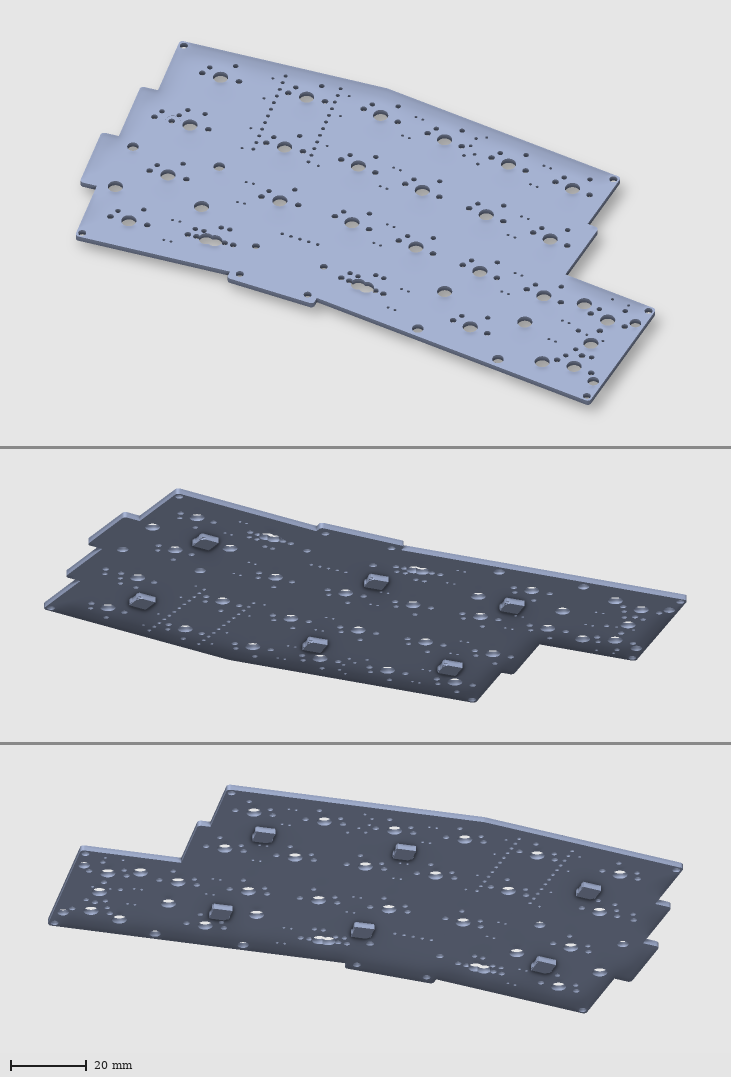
import cadquery as cq
import math

KEY = 19.05
PLATE_LENGTH = 158.86
PLATE_WIDTH = 92.29
PLATE_THICKNESS = 1.6
LED_HEIGHT = 1.6
LED_GAP = 0.05
CORNER_RADIUS = 1.0

SWITCH_POST = 3.99
SWITCH_PEG = 1.75
SWITCH_PIN = 1.47
STABILIZER_LARGE = 3.99
STABILIZER_SMALL = 3.05
MOUNTING_HOLE = 2.1
CONTROLLER_PIN = 1.09
HEADER_PIN = 1.0
DIODE_LEAD = 0.8
BUTTON_PIN = 1.0
BUTTON_LEAD = 0.8

LEFT = -PLATE_LENGTH / 2
TOP = PLATE_WIDTH / 2


def straight(columns, rows):
    """Point in the straight half, in key units right of its left end and below its top edge."""
    return (LEFT + columns * KEY, TOP - rows * KEY)


SLANT = -10.0
SLANT_ORIGIN = (-11.18, 36.24)
TAB_SLANT = -5.0
TAB_CENTER = (-18.83, -25.45)
TAB_HALF_LENGTH = 12.4
TAB_DEPTH = 8.1


def turned(origin, angle, along, across):
    """Point (along, across) of a frame turned by angle and placed at origin."""
    c = math.cos(math.radians(angle))
    s = math.sin(math.radians(angle))
    return (origin[0] + along * c - across * s, origin[1] + along * s + across * c)


def slanted(columns, rows):
    """Point in the slanted block, in key units along its rows and below its first key row."""
    return turned(SLANT_ORIGIN, SLANT, columns * KEY, -rows * KEY)


def tab(along, across):
    """Point in the frame of the side tab."""
    return turned(TAB_CENTER, TAB_SLANT, along, across)


def line_crossing(p, q, r, s):
    """Where the line through p and q crosses the line through r and s."""
    d1 = (q[0] - p[0], q[1] - p[1])
    d2 = (s[0] - r[0], s[1] - r[1])
    t = ((r[0] - p[0]) * d2[1] - (r[1] - p[1]) * d2[0]) / (d1[0] * d2[1] - d1[1] * d2[0])
    return (p[0] + t * d1[0], p[1] + t * d1[1])


ROW_SHIFT = math.tan(math.radians(-SLANT))
ROW_START = [0, ROW_SHIFT, 2 * ROW_SHIFT + 0.25, 2 * ROW_SHIFT + 0.875]
UPPER_END = ROW_START[0] + 3.5
MIDDLE_END = ROW_START[1] + 3.5
LOWER_END = ROW_START[2] + 4.5

top_left = straight(0.5, 0)
top_bend = line_crossing(top_left, straight(1, 0), slanted(0, -0.5), slanted(1, -0.5))
bottom_left = straight(0.25, 4)
tab_left = [tab(-TAB_HALF_LENGTH, 0), tab(-TAB_HALF_LENGTH, -TAB_DEPTH)]
tab_right = [tab(TAB_HALF_LENGTH, 0), tab(TAB_HALF_LENGTH, -TAB_DEPTH)]
tab_left_root = line_crossing(bottom_left, straight(1, 4), *tab_left)
tab_right_root = line_crossing(slanted(0, 3.5), slanted(1, 3.5), *tab_right)

SHARP = False
ROUND = True
outline = [
    (top_left, ROUND),
    (top_bend, SHARP),
    (slanted(UPPER_END, -0.5), ROUND),
    (slanted(UPPER_END, 0.5), SHARP),
    (slanted(MIDDLE_END, 0.5), ROUND),
    (slanted(MIDDLE_END, 1.5), SHARP),
    (slanted(LOWER_END, 1.5), ROUND),
    (slanted(LOWER_END, 3.5), ROUND),
    (tab_right_root, SHARP),
    (tab_right[1], ROUND),
    (tab_left[1], ROUND),
    (tab_left_root, SHARP),
    (bottom_left, ROUND),
    (straight(0.25, 3), SHARP),
    (straight(0, 3), ROUND),
    (straight(0, 2), ROUND),
    (straight(0.25, 2), SHARP),
    (straight(0.25, 1), ROUND),
    (straight(0.5, 1), SHARP),
]
plate = cq.Workplane("XY").polyline([point for point, _ in outline]).close().extrude(PLATE_THICKNESS)
for (x, y), rounded in outline:
    if rounded:
        corner = cq.selectors.NearestToPointSelector((x, y, PLATE_THICKNESS / 2))
        plate = plate.edges(corner).fillet(CORNER_RADIUS)

holes = {}


def add_hole(diameter, point):
    """Note a through hole of this diameter."""
    holes.setdefault(diameter, []).append(point)


PEG_OFFSET = 5.08
PIN_OFFSETS = [(-3.81, 2.54), (2.54, 5.08)]


def add_switch(center, angle=0.0, with_post=True):
    """Post, two pegs and two pins of one key switch."""
    if with_post:
        add_hole(SWITCH_POST, center)
    for side in (-1, 1):
        add_hole(SWITCH_PEG, turned(center, angle, side * PEG_OFFSET, 0))
    for along, across in PIN_OFFSETS:
        add_hole(SWITCH_PIN, turned(center, angle, along, across))


SHALLOW_SEAT_KEY = straight(0.875, 1.5)
STRAIGHT_KEYS = [
    (1.25, 0.5), (2.5, 0.5),
    (1.125, 1.5), (2.5, 1.5),
    (1.125, 2.5), (2.75, 2.5),
    (0.875, 3.5), (2.0, 3.5), (2.125, 3.5),
]
SLANTED_KEYS = [(ROW_START[row] + n, row) for row in (0, 1) for n in range(4)]
SLANTED_KEYS += [(ROW_START[2] + n, 2) for n in range(5)]
SLANTED_KEYS += [(ROW_START[3] + n, 3) for n in (0, 0.125, 1.75, 3.375)]
TALL_KEY = slanted(ROW_START[2] + 4, 2.5)
TALL_KEY_ANGLE = SLANT + 90

add_switch(SHALLOW_SEAT_KEY, with_post=False)
for columns, rows in STRAIGHT_KEYS:
    add_switch(straight(columns, rows))
for columns, rows in SLANTED_KEYS:
    add_switch(slanted(columns, rows), SLANT)
add_switch(TALL_KEY, TALL_KEY_ANGLE)

STABILIZER_HALF_SPAN = 11.938
STABILIZER_SMALL_OFFSET = 6.985
STABILIZER_LARGE_OFFSET = 8.255


def add_stabilizer(center, angle):
    """A small and a large hole on each side of a key."""
    for side in (-1, 1):
        along = side * STABILIZER_HALF_SPAN
        add_hole(STABILIZER_SMALL, turned(center, angle, along, STABILIZER_SMALL_OFFSET))
        add_hole(STABILIZER_LARGE, turned(center, angle, along, -STABILIZER_LARGE_OFFSET))


WIDE_STRAIGHT_KEY = straight(1.125, 2.5)
WIDE_SLANTED_KEY = slanted(ROW_START[3] + 1.75, 3)
add_stabilizer(WIDE_STRAIGHT_KEY, 0)
add_stabilizer(WIDE_SLANTED_KEY, SLANT + 180)
add_stabilizer(TALL_KEY, TALL_KEY_ANGLE + 180)

DIODE_HALF_SPAN = 3.81
DIODE_HALF_GAP = 1.0


def add_four_holes(center, angle, half_width, half_height, diameter):
    """Four holes at the corners of a rectangle."""
    for x_side in (-1, 1):
        for y_side in (-1, 1):
            add_hole(diameter, turned(center, angle, x_side * half_width, y_side * half_height))


straight_diodes = [(1.5, 3.5), (2.25, 2.5)]
for columns, rows in straight_diodes:
    add_four_holes(straight(columns, rows), 0, DIODE_HALF_GAP, DIODE_HALF_SPAN, DIODE_LEAD)
slanted_diodes = [(ROW_START[row] + n, row) for row in (0, 1) for n in (0.5, 2.5)]
slanted_diodes += [(ROW_START[2] + n, 2) for n in (0.5, 2.5)]
slanted_diodes += [(ROW_START[3] + 0.625, 3), (ROW_START[2] + 3.5, 2.5)]
for columns, rows in slanted_diodes:
    add_four_holes(slanted(columns, rows), SLANT, DIODE_HALF_GAP, DIODE_HALF_SPAN, DIODE_LEAD)

CONTROLLER_DIODE_OFFSET = 10.57
for rows in (0.5, 1.5):
    add_four_holes(straight(2.5, rows), 0, CONTROLLER_DIODE_OFFSET, DIODE_HALF_SPAN, DIODE_LEAD)
END_DIODE_OFFSET = 2.4
END_DIODE_HALF_SPAN = 7.3
add_four_holes(slanted(ROW_START[2] + 4, 2), SLANT, END_DIODE_OFFSET, END_DIODE_HALF_SPAN, DIODE_LEAD)

PIN_PITCH = 2.54
CONTROLLER_PINS = 12
CONTROLLER_HALF_WIDTH = 7.62
CONTROLLER_CENTER_Y = 28.3
HEADER_PINS = 5
HEADER_OFFSET = 12.35

controller_x = straight(2.5, 0)[0]
for n in range(CONTROLLER_PINS):
    y = CONTROLLER_CENTER_Y + (n - (CONTROLLER_PINS - 1) / 2) * PIN_PITCH
    for side in (-1, 1):
        add_hole(CONTROLLER_PIN, (controller_x + side * CONTROLLER_HALF_WIDTH, y))
for n in range(HEADER_PINS):
    add_hole(HEADER_PIN, tab((n - (HEADER_PINS - 1) / 2) * PIN_PITCH, HEADER_OFFSET))

BUTTON_PIN_POINTS = [(14.2, 29.05), (16.7, 30.3), (18.6, 27.2), (14.8, 32.9), (15.35, 35.9)]
BUTTON_LEAD_POINT = (17.9, 37.1)
for point in BUTTON_PIN_POINTS:
    add_hole(BUTTON_PIN, point)
add_hole(BUTTON_LEAD, BUTTON_LEAD_POINT)

CORNER_INSET = 1.55
TAB_HOLE_HALF_LENGTH = 9.7
TAB_HOLE_HALF_WIDTH = 5.5

inset = CORNER_INSET / KEY
for point in [
    straight(0.5 + inset, inset),
    straight(0.25 + inset, 4 - inset),
    slanted(UPPER_END - inset, inset - 0.5),
    slanted(LOWER_END - inset, 1.5 + inset),
    slanted(LOWER_END - inset, 3.5 - inset),
]:
    add_hole(MOUNTING_HOLE, point)
add_four_holes(TAB_CENTER, TAB_SLANT, TAB_HOLE_HALF_LENGTH, TAB_HOLE_HALF_WIDTH, MOUNTING_HOLE)

for diameter, points in holes.items():
    drills = [
        cq.Workplane("XY").center(x, y).circle(diameter / 2).extrude(PLATE_THICKNESS).val()
        for x, y in points
    ]
    plate = cq.Workplane(plate.val().cut(*drills))

SEAT_DEPTH = 0.1
seat = cq.Workplane("XY").workplane(offset=PLATE_THICKNESS - SEAT_DEPTH)
seat = seat.center(*SHALLOW_SEAT_KEY).circle(SWITCH_POST / 2).extrude(SEAT_DEPTH)
plate = plate.cut(seat)

LED_SIZE = 5.0
LED_SPAN = 5.4
CONTACT_WIDTH = 1.0
CONTACT_HEIGHT = 1.4
CONTACT_OFFSET = 1.6
NOTCH_SIZE = 1.0
NOTCH_DEPTH = 0.5


def make_led(center, angle):
    """LED hanging from the plate, with contacts at both ends and one corner notched."""
    led = cq.Workplane("XY").rect(LED_SIZE, LED_SIZE).extrude(-LED_HEIGHT)
    contacts = (
        cq.Workplane("XY")
        .pushPoints([(0, -CONTACT_OFFSET), (0, CONTACT_OFFSET)])
        .rect(LED_SPAN, CONTACT_WIDTH)
        .extrude(-CONTACT_HEIGHT)
    )
    corner = -LED_SIZE / 2
    notch = (
        cq.Workplane("XY")
        .workplane(offset=-LED_HEIGHT)
        .polyline([(corner, corner), (corner + NOTCH_SIZE, corner), (corner, corner + NOTCH_SIZE)])
        .close()
        .extrude(NOTCH_DEPTH)
    )
    led = led.cut(notch).union(contacts)
    return led.rotate((0, 0, 0), (0, 0, 1), angle).translate((center[0], center[1], -LED_GAP))


LED_PLACES = [
    ((-50.7, 27.2), 0), ((-54.4, -11.1), 0),
    ((1.45, 25.4), SLANT), ((-3.8, -14.4), SLANT),
    ((38.85, 18.4), SLANT), ((34.1, -21.0), SLANT),
]
leds = [make_led(center, angle) for center, angle in LED_PLACES]

result = cq.Compound.makeCompound([plate.val(), *[led.val() for led in leds]])